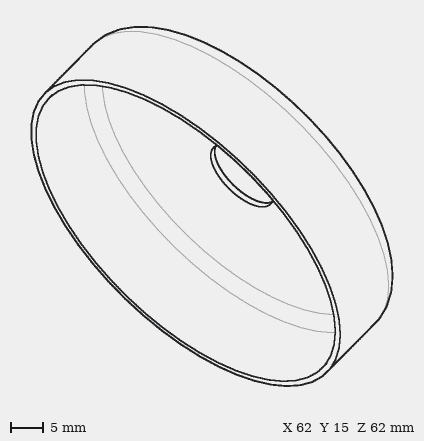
import cadquery as cq

outer_diameter = 62.0
height = 15.0
wall = 1.0
outer_corner_radius = 3.0
hole_diameter = 12.5

outer_radius = outer_diameter / 2
inner_radius = outer_radius - wall
inner_corner_radius = outer_corner_radius - wall
cavity_depth = height - wall


def rounded_disc(radius, length, corner_radius):
    """Disc along +Y from the XZ plane, with its far (+Y) rim rounded."""
    disc = cq.Workplane("XZ").circle(radius).extrude(-length)
    return disc.faces(">Y").edges().fillet(corner_radius)


def through_hole():
    """Cylinder along Y that pierces the closed end at its centre."""
    return cq.Workplane("XZ").circle(hole_diameter / 2).extrude(-height)


shell = rounded_disc(outer_radius, height, outer_corner_radius)
cavity = rounded_disc(inner_radius, cavity_depth, inner_corner_radius)

result = shell.cut(cavity).cut(through_hole())